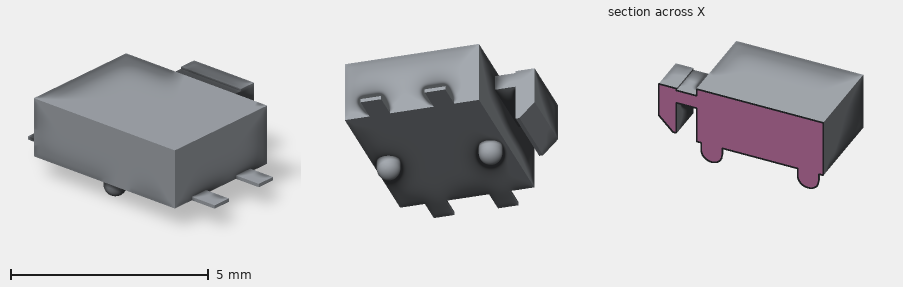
import cadquery as cq

body_length = 4.73
body_width = 3.55
body_height = 1.62

lead_span = 6.26
lead_width = 0.545
lead_thickness = 0.095
lead_pitch = 1.695

peg_diameter = 0.6
peg_length = 0.51
peg_pitch = 2.7

actuator_width = 2.015
actuator_reach = 1.05
arm_drop = 0.205
arm_thickness = 0.395
hook_drop = 0.15
hook_height = 1.38
hook_thickness = 0.5
hook_chamfer = 0.4


def make_lead_strip(y):
    """A strip through the body whose two ends form a pair of opposite leads."""
    strip = cq.Workplane("XY").box(lead_span, lead_width, lead_thickness, centered=(True, True, False))
    return strip.translate((0, y, 0))


def make_peg(y):
    """A short cylinder closed by a hemisphere, pointing down."""
    radius = peg_diameter / 2
    shank_length = peg_length - radius
    profile = (
        cq.Workplane("XZ")
        .lineTo(radius, 0)
        .lineTo(radius, -shank_length)
        .radiusArc((0, -peg_length), radius)
        .close()
    )
    return profile.revolve(360, (0, 0, 0), (0, 1, 0)).translate((0, y, 0))


def make_actuator():
    """Arm and downward hook, drawn as one side profile in Y and Z."""
    body_face = body_width / 2
    tip = body_face + actuator_reach
    hook_back = tip - hook_thickness
    arm_top = body_height - arm_drop
    arm_bottom = arm_top - arm_thickness
    hook_top = body_height - hook_drop
    hook_bottom = hook_top - hook_height
    profile = cq.Workplane("YZ").polyline([
        (body_face, arm_bottom),
        (hook_back, arm_bottom),
        (hook_back, hook_bottom),
        (tip - hook_chamfer, hook_bottom),
        (tip, hook_bottom + hook_chamfer),
        (tip, hook_top),
        (hook_back, hook_top),
        (hook_back, arm_top),
        (body_face, arm_top),
    ]).close()
    return profile.extrude(actuator_width / 2, both=True)


result = cq.Workplane("XY").box(body_length, body_width, body_height, centered=(True, True, False))
result = result.union(make_actuator())
for side in (-1, 1):
    result = result.union(make_lead_strip(side * lead_pitch / 2))
    result = result.union(make_peg(side * peg_pitch / 2))